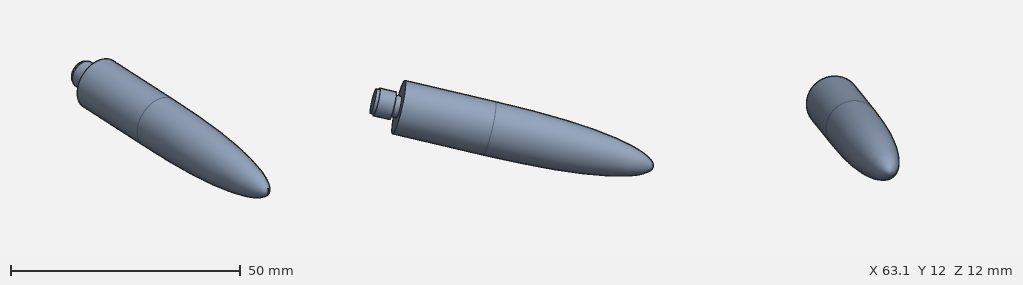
import cadquery as cq
import math

total_length = 63.1
collar_start = 0.75
neck_start = 4.4
body_start = 5.75
nose_start = 26.05

pilot_diameter = 5.55
collar_diameter = 6.25
neck_diameter = 4.85
body_diameter = 12.0

nose_fullness = 2.4
nose_steps = 16


def cylinder(start, end, diameter):
    """Solid cylinder on the X axis between two axial positions."""
    return cq.Workplane("YZ", origin=(start, 0, 0)).circle(diameter / 2).extrude(end - start)


def nose_point(step):
    """Point on the nose profile, from the body rim (0) to the tip (nose_steps)."""
    angle = math.pi / 2 * step / nose_steps
    length = total_length - nose_start
    x = nose_start + length * math.sin(angle) ** (2 / nose_fullness)
    radius = body_diameter / 2 * math.cos(angle)
    return x, radius


def nose():
    """Tapered nose, tangent to the body and rounded at its tip."""
    curve = [nose_point(step) for step in range(1, nose_steps)]
    curve.append((total_length, 0))
    return (
        cq.Workplane("XY")
        .moveTo(nose_start, 0)
        .lineTo(nose_start, body_diameter / 2)
        .spline(curve, tangents=[(1, 0), (0, -1)], includeCurrent=True)
        .close()
        .revolve(360, (0, 0, 0), (1, 0, 0))
    )


pilot = cylinder(0, collar_start, pilot_diameter)
collar = cylinder(collar_start, neck_start, collar_diameter)
neck = cylinder(neck_start, body_start, neck_diameter)
body = cylinder(body_start, nose_start, body_diameter)

result = pilot.union(collar).union(neck).union(body).union(nose())